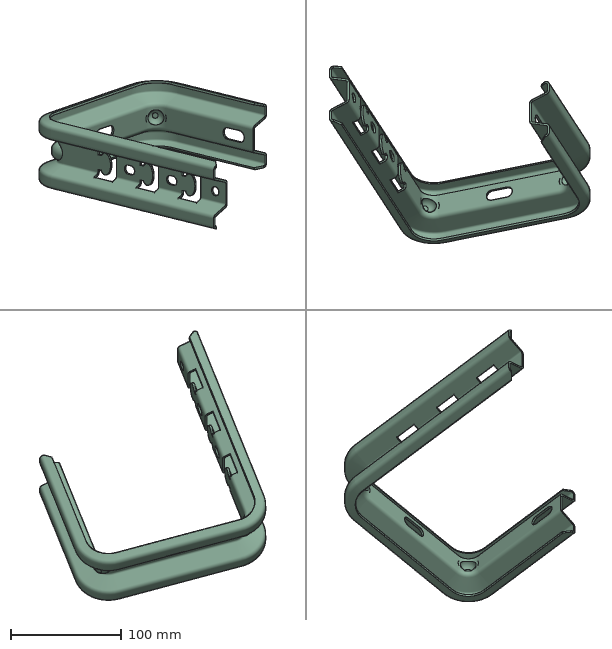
import cadquery as cq
import math

LONG_ARM_END = 224.0
SHORT_ARM_END = 135.0
WIDTH = 180.0
HEIGHT = 63.43

THICKNESS = 2.0
DEPTH = 19.2
WEB_BEND_HALF_HEIGHT = 9.4
FLANK_ANGLE = 20.0
LIP_ANGLE = 15.0
LIP_END_DEPTH = 9.7
INSIDE_BEND_RADIUS = 2.0
OUTSIDE_BEND_RADIUS = INSIDE_BEND_RADIUS + THICKNESS
LIP_CHAMFER = 5.7

CORNER_INNER_RADIUS = 12.2
CORNER_RADIUS = CORNER_INNER_RADIUS + DEPTH

DOME_RADIUS = 9.2
DOME_CENTRE_DISTANCE = 11.2
DOME_TIP_RADIUS = 3.0
DOME_SKIRT_START = 6.0

PITCH = 50.0
WINDOW_COUNT = 3
FIRST_WINDOW_START = 72.2
WINDOW_LENGTH = 21.9
WINDOW_START_DEPTH = 11.7
TONGUE_LENGTH = 15.0
TONGUE_NECK_WIDTH = 14.0
TONGUE_HEAD_LENGTH = 13.0
TONGUE_HEAD_WIDTH = 20.8

FIRST_SLOT_POSITION = 109.7
LONG_ARM_SLOT_COUNT = 2
LONG_ARM_SLOT_LENGTH = 12.0
LONG_ARM_HOLE_WIDTH = 8.5
ROUND_HOLE_POSITION = 211.3
LARGE_SLOT_LENGTH = 25.0
LARGE_SLOT_WIDTH = 11.0
SHORT_ARM_SLOT_POSITION = 112.0

FRONT = -WIDTH / 2
WEB_OUTER_FACE = DEPTH - THICKNESS
CORNER_CENTRE_Y = WIDTH / 2 - CORNER_RADIUS


def section_corners():
    """Sharp (depth, height) corners of the upper half, on the outer and the inner side of the sheet."""
    flank_turn = math.radians(90 - FLANK_ANGLE)
    lip_turn = math.radians(90 - LIP_ANGLE)
    web_z = WEB_BEND_HALF_HEIGHT + INSIDE_BEND_RADIUS * math.tan(flank_turn / 2)
    flange_z = web_z + WEB_OUTER_FACE * math.tan(math.radians(FLANK_ANGLE))
    lip_z = HEIGHT / 2 - LIP_END_DEPTH * math.tan(math.radians(LIP_ANGLE))
    flank_shift = THICKNESS * math.tan(flank_turn / 2)
    lip_shift = THICKNESS * math.tan(lip_turn / 2)
    lip = math.radians(LIP_ANGLE)
    lip_end = (LIP_END_DEPTH, HEIGHT / 2)
    outer = [(WEB_OUTER_FACE, web_z), (0, flange_z), (0, lip_z), lip_end]
    inner = [
        (DEPTH, web_z + flank_shift),
        (THICKNESS, flange_z + flank_shift),
        (THICKNESS, lip_z - lip_shift),
        (LIP_END_DEPTH + THICKNESS * math.sin(lip), HEIGHT / 2 - THICKNESS * math.cos(lip)),
    ]
    return outer, inner


def toward(start, end, distance):
    """Point at a distance from start on the straight line to end."""
    fraction = distance / math.dist(start, end)
    return (start[0] + fraction * (end[0] - start[0]), start[1] + fraction * (end[1] - start[1]))


def add_bend(sketch, before, corner, after, radius):
    """Draw up to a corner of the section and round it with an arc."""
    to_before = math.atan2(before[1] - corner[1], before[0] - corner[0])
    to_after = math.atan2(after[1] - corner[1], after[0] - corner[0])
    half_angle = math.acos(math.cos(to_before - to_after)) / 2
    tangent_length = radius / math.tan(half_angle)
    apex_distance = radius / math.sin(half_angle) - radius
    start = toward(corner, before, tangent_length)
    end = toward(corner, after, tangent_length)
    chord_middle = ((start[0] + end[0]) / 2, (start[1] + end[1]) / 2)
    apex = toward(corner, chord_middle, apex_distance)
    return sketch.lineTo(*start).threePointArc(apex, end)


def rail_section():
    """Closed hat section in the end plane of the long arm."""
    outer, inner = section_corners()

    def below(corners):
        return [(depth, -height) for depth, height in corners]

    corners = below(outer[::-1]) + outer + inner[::-1] + below(inner)
    tight, wide = INSIDE_BEND_RADIUS, OUTSIDE_BEND_RADIUS
    outer_radii = [tight, wide, wide, 0]
    inner_radii = [wide, tight, tight, 0]
    radii = outer_radii[::-1] + outer_radii + inner_radii[::-1] + inner_radii

    plane = cq.Plane(origin=(LONG_ARM_END, FRONT, 0), xDir=(0, 1, 0), normal=(1, 0, 0))
    sketch = cq.Workplane(plane).moveTo(*corners[0])
    for i in range(1, len(corners)):
        if radii[i] == 0:
            sketch = sketch.lineTo(*corners[i])
        else:
            following = corners[(i + 1) % len(corners)]
            sketch = add_bend(sketch, corners[i - 1], corners[i], following, radii[i])
    return sketch.close()


def bent_rail():
    """Section swept along the outer face of the C."""
    bend_offset = CORNER_RADIUS * (1 - math.sqrt(0.5))
    path = (
        cq.Workplane("XY")
        .moveTo(LONG_ARM_END, FRONT)
        .lineTo(CORNER_RADIUS, FRONT)
        .threePointArc((bend_offset, FRONT + bend_offset), (0, -CORNER_CENTRE_Y))
        .lineTo(0, CORNER_CENTRE_Y)
        .threePointArc((bend_offset, -FRONT - bend_offset), (CORNER_RADIUS, -FRONT))
        .lineTo(SHORT_ARM_END, -FRONT)
    )
    return rail_section().sweep(path)


def lip_chamfer(arm_end, side):
    """Wedges that cut the free corners off both lips at the end of an arm; side is -1 or 1 in Y."""
    lip_edge = side * (WIDTH / 2 - LIP_END_DEPTH)
    reach = LIP_CHAMFER + THICKNESS
    tip_y = lip_edge + side * LIP_CHAMFER
    base_y = tip_y - side * reach
    wedge = (
        cq.Workplane("XY")
        .moveTo(arm_end, tip_y)
        .lineTo(arm_end - reach, base_y)
        .lineTo(arm_end, base_y)
        .close()
    )
    upper = wedge.extrude(LIP_CHAMFER).translate((0, 0, HEIGHT / 2 - LIP_CHAMFER))
    return upper.union(upper.mirror("XY"))


def dome_solid(sphere_radius, tip_distance):
    """Half ball with a flat tip on a short cylinder, pointing out of the front corner."""
    tip_radius = math.sqrt(sphere_radius**2 - (tip_distance - DOME_CENTRE_DISTANCE) ** 2)
    half_way = (math.atan2(tip_radius, tip_distance - DOME_CENTRE_DISTANCE) + math.pi / 2) / 2
    arc_middle = (
        DOME_CENTRE_DISTANCE + sphere_radius * math.cos(half_way),
        sphere_radius * math.sin(half_way),
    )
    outwards = (-1, -1, 0)
    sideways = (1, -1, 0)
    plane = cq.Plane(origin=(CORNER_RADIUS, -CORNER_CENTRE_Y, 0), xDir=outwards, normal=sideways)
    return (
        cq.Workplane(plane)
        .moveTo(DOME_SKIRT_START, 0)
        .lineTo(tip_distance, 0)
        .lineTo(tip_distance, tip_radius)
        .threePointArc(arc_middle, (DOME_CENTRE_DISTANCE, sphere_radius))
        .lineTo(DOME_SKIRT_START, sphere_radius)
        .close()
        .revolve(360, (0, 0, 0), (1, 0, 0))
    )


def add_domes(body):
    """Press a hollow dome outwards through the web at both corners."""
    tip_distance = DOME_CENTRE_DISTANCE + math.sqrt(DOME_RADIUS**2 - DOME_TIP_RADIUS**2)
    corner_core = (
        cq.Workplane("XY")
        .cylinder(HEIGHT, CORNER_INNER_RADIUS)
        .translate((CORNER_RADIUS, -CORNER_CENTRE_Y, 0))
    )
    shell = dome_solid(DOME_RADIUS, tip_distance).cut(corner_core)
    hollow = dome_solid(DOME_RADIUS - THICKNESS, tip_distance - THICKNESS)
    body = body.union(shell).union(shell.mirror("XZ"))
    return body.cut(hollow).cut(hollow.mirror("XZ"))


def window(start):
    """Window through web and flanks, less the tongue that stays."""
    depth = DEPTH - WINDOW_START_DEPTH
    opening = (
        cq.Workplane("XY")
        .box(WINDOW_LENGTH, depth, HEIGHT, centered=(False, False, True))
        .translate((start, FRONT + WINDOW_START_DEPTH, 0))
    )
    head_centre = start + TONGUE_LENGTH - TONGUE_HEAD_LENGTH / 2
    plane = cq.Workplane("XZ", origin=(0, FRONT + DEPTH, 0))
    head = plane.center(head_centre, 0).ellipse(TONGUE_HEAD_LENGTH / 2, TONGUE_HEAD_WIDTH / 2).extrude(depth)
    neck_length = head_centre - start
    neck = plane.center(start + neck_length / 2, 0).rect(neck_length, TONGUE_NECK_WIDTH).extrude(depth)
    return opening.cut(head).cut(neck)


def arm_slot(x, side, length, width):
    """Round-ended slot through the web of one arm; side is -1 or 1 in Y."""
    plane = cq.Workplane("XZ", origin=(x, side * (WIDTH / 2 - DEPTH / 2), 0))
    return plane.slot2D(length, width).extrude(DEPTH / 2, both=True)


def round_hole():
    """Round hole through the web near the end of the long arm."""
    plane = cq.Workplane("XZ", origin=(ROUND_HOLE_POSITION, FRONT + DEPTH, 0))
    return plane.circle(LONG_ARM_HOLE_WIDTH / 2).extrude(DEPTH)


def back_slot():
    """Round-ended slot in the middle of the back."""
    return cq.Workplane("YZ").slot2D(LARGE_SLOT_LENGTH, LARGE_SLOT_WIDTH).extrude(DEPTH)


body = add_domes(bent_rail())
body = body.cut(lip_chamfer(LONG_ARM_END, -1)).cut(lip_chamfer(SHORT_ARM_END, 1))
for index in range(WINDOW_COUNT):
    body = body.cut(window(FIRST_WINDOW_START + index * PITCH))
for index in range(LONG_ARM_SLOT_COUNT):
    position = FIRST_SLOT_POSITION + index * PITCH
    body = body.cut(arm_slot(position, -1, LONG_ARM_SLOT_LENGTH, LONG_ARM_HOLE_WIDTH))
body = body.cut(round_hole())
body = body.cut(arm_slot(SHORT_ARM_SLOT_POSITION, 1, LARGE_SLOT_LENGTH, LARGE_SLOT_WIDTH))
body = body.cut(back_slot())

result = body